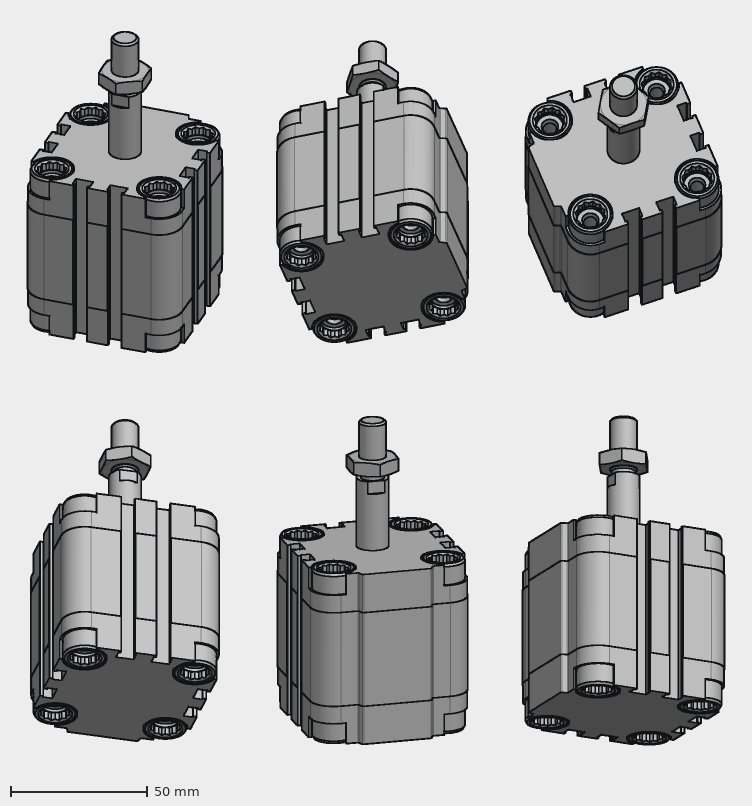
import cadquery as cq
import math

total_height = 114.0
housing_height = 65.5
half_width = 30.0
corner_radius = 9.0
end_length = 14.7
end_step = 0.1

pad_height = 2.5
pad_half_base = 14.1
pad_half_top = 13.2
pad_edge_radius = 0.6
pad_root_radius = 0.5

slot_pitch = 13.5
slot_mouth = 5.2
slot_width = 6.7
slot_depth = 5.0
slot_lip = 1.5
slot_edge_chamfer = 0.2

screw_offset = 21.0
head_radius = 16.0 / 2
head_height = 8.0
head_chamfer_width = 0.6
head_chamfer_depth = 1.0
head_clearance = 0.2
relief_overhang = 2.3
rim_radius = 6.3
socket_point_radius = 5.6
socket_points = 12
socket_valley_radius = socket_point_radius * math.cos(math.radians(30)) / math.cos(math.radians(15))
socket_tooth_bottom = 3.6
socket_depth = 5.0
rim_cone_depth = 0.8
bore_radius = 4.9 / 2
bore_mouth_radius = 6.2 / 2
bore_cone_depth = 1.7

rod_radius = 12.0 / 2
rod_socket_depth = end_length
shoulder_z = 92.0
flat_length = 4.7
flat_spacing = 10.0
neck_radius = 8.7 / 2
neck_top_z = 93.9
thread_radius = 10.0 / 2
thread_chamfer = 0.8

nut_bottom_z = 94.8
nut_height = 5.2
nut_flat_spacing = 17.1
nut_chamfer_angle = 15.0


def housing_block(half, length):
    """A rounded square bar with the raised pad along its +Y side."""
    bar = (
        cq.Workplane("XY")
        .rect(2 * half, 2 * half)
        .extrude(length)
        .edges("|Z")
        .fillet(corner_radius)
    )
    pad_side = half_width - corner_radius
    pad = (
        cq.Workplane("XY")
        .polyline([
            (-pad_half_base, pad_side),
            (-pad_half_base, half),
            (-pad_half_top, half + pad_height),
            (pad_half_top, half + pad_height),
            (pad_half_base, half),
            (pad_half_base, pad_side),
        ])
        .close()
        .extrude(length)
        .edges("|Z and >Y")
        .fillet(pad_edge_radius)
    )
    root_edges = cq.selectors.BoxSelector(
        (-pad_half_base - pad_root_radius, half - pad_root_radius, 0),
        (pad_half_base + pad_root_radius, half + pad_root_radius, length),
    )
    return bar.union(pad).edges("|Z").edges(root_edges).fillet(pad_root_radius)


def slot_cutter(side_angle, offset):
    """A T-slot open to the -Y side, shifted along that side and turned about Z."""
    half_mouth = slot_mouth / 2
    half_slot = slot_width / 2
    half_flare = half_mouth + slot_edge_chamfer
    right_half = [
        (half_flare, -half_width),
        (half_mouth, -half_width + slot_edge_chamfer),
        (half_mouth, -half_width + slot_lip),
        (half_slot, -half_width + slot_lip),
        (half_slot, -half_width + slot_depth),
    ]
    left_half = [(-x, y) for x, y in reversed(right_half)]
    return (
        cq.Workplane("XY")
        .polyline(right_half + left_half)
        .close()
        .extrude(housing_height)
        .translate((offset, 0, 0))
        .rotate((0, 0, 0), (0, 0, 1), side_angle)
    )


def double_hexagon_points():
    """Corners of the 12-point socket: two hexagons turned 30 degrees apart."""
    corners = []
    for i in range(2 * socket_points):
        radius = socket_point_radius if i % 2 == 0 else socket_valley_radius
        angle = math.pi * i / socket_points
        corners.append((radius * math.cos(angle), radius * math.sin(angle)))
    return corners


def corner_relief():
    """Space around a screw head at the (+X, +Y) corner, below the plane z = 0."""
    reach = 2 * corner_radius
    block = (
        cq.Workplane("XY")
        .rect(reach, reach, centered=False)
        .extrude(-head_height)
        .translate((-relief_overhang, -relief_overhang, 0))
    )
    well = cq.Workplane("XY").circle(head_radius + head_clearance).extrude(-head_height)
    head = (
        cq.Workplane("XZ")
        .lineTo(head_radius - head_chamfer_width, 0)
        .lineTo(head_radius, -head_chamfer_depth)
        .lineTo(head_radius, -head_height)
        .lineTo(0, -head_height)
        .close()
        .revolve(360, (0, 0), (0, 1))
    )
    return block.union(well).cut(head)


def head_socket():
    """12-point socket with a conical mouth and a coned bore mouth in its floor."""
    teeth = cq.Workplane("XY").polyline(double_hexagon_points()).close().extrude(-socket_tooth_bottom)
    round_part = (
        cq.Workplane("XZ")
        .lineTo(rim_radius, 0)
        .lineTo(socket_valley_radius, -rim_cone_depth)
        .lineTo(socket_valley_radius, -socket_depth)
        .lineTo(bore_mouth_radius, -socket_depth)
        .lineTo(bore_radius, -socket_depth - bore_cone_depth)
        .lineTo(0, -socket_depth - bore_cone_depth)
        .close()
        .revolve(360, (0, 0), (0, 1))
    )
    return teeth.union(round_part)


def make_housing():
    ends = housing_block(half_width - end_step, housing_height)
    barrel_length = housing_height - 2 * end_length
    barrel = housing_block(half_width, barrel_length).translate((0, 0, end_length))
    housing = ends.union(barrel)

    for side_angle in (-90, 0, 90):
        for offset in (-slot_pitch / 2, slot_pitch / 2):
            housing = housing.cut(slot_cutter(side_angle, offset))

    top_cut = corner_relief().union(head_socket())
    bore = cq.Workplane("XY").circle(bore_radius).extrude(-housing_height)
    top_cut = top_cut.union(bore).translate((screw_offset, screw_offset, housing_height))
    bottom_cut = top_cut.mirror("XY", (0, 0, housing_height / 2))
    for cutter in (top_cut, bottom_cut):
        cutter_row = cutter.union(cutter.mirror("YZ"))
        housing = housing.cut(cutter_row).cut(cutter_row.mirror("XZ"))

    rod_hole = (
        cq.Workplane("XY")
        .workplane(offset=housing_height - rod_socket_depth)
        .circle(rod_radius)
        .extrude(rod_socket_depth)
    )
    return housing.cut(rod_hole)


def make_rod():
    thread_start_z = neck_top_z + thread_radius - neck_radius
    rod = (
        cq.Workplane("XZ")
        .moveTo(0, housing_height - rod_socket_depth)
        .lineTo(rod_radius, housing_height - rod_socket_depth)
        .lineTo(rod_radius, shoulder_z)
        .lineTo(neck_radius, shoulder_z)
        .lineTo(neck_radius, neck_top_z)
        .lineTo(thread_radius, thread_start_z)
        .lineTo(thread_radius, total_height - thread_chamfer)
        .lineTo(thread_radius - thread_chamfer, total_height)
        .lineTo(0, total_height)
        .close()
        .revolve(360, (0, 0), (0, 1))
    )
    cut_size = 4 * rod_radius
    flat_cut = (
        cq.Workplane("XY")
        .workplane(offset=shoulder_z - flat_length)
        .rect(cut_size, cut_size)
        .rect(cut_size, flat_spacing)
        .extrude(flat_length)
    )
    return rod.cut(flat_cut)


def make_nut():
    corner_distance = nut_flat_spacing / math.cos(math.radians(30))
    hexagon = (
        cq.Workplane("XY")
        .polygon(6, corner_distance)
        .extrude(nut_height)
        .rotate((0, 0, 0), (0, 0, 1), 30)
    )
    cone_width = (corner_distance - nut_flat_spacing) / 2
    cone_height = cone_width * math.tan(math.radians(nut_chamfer_angle))
    blank = (
        cq.Workplane("XY")
        .circle(corner_distance / 2)
        .extrude(nut_height)
        .edges("%CIRCLE")
        .chamfer(cone_height, cone_width)
    )
    thread_hole = cq.Workplane("XY").circle(thread_radius).extrude(nut_height)
    return hexagon.intersect(blank).cut(thread_hole).translate((0, 0, nut_bottom_z))


housing = make_housing()
rod = make_rod()
nut = make_nut()

result = cq.Compound.makeCompound([housing.val(), rod.val(), nut.val()])